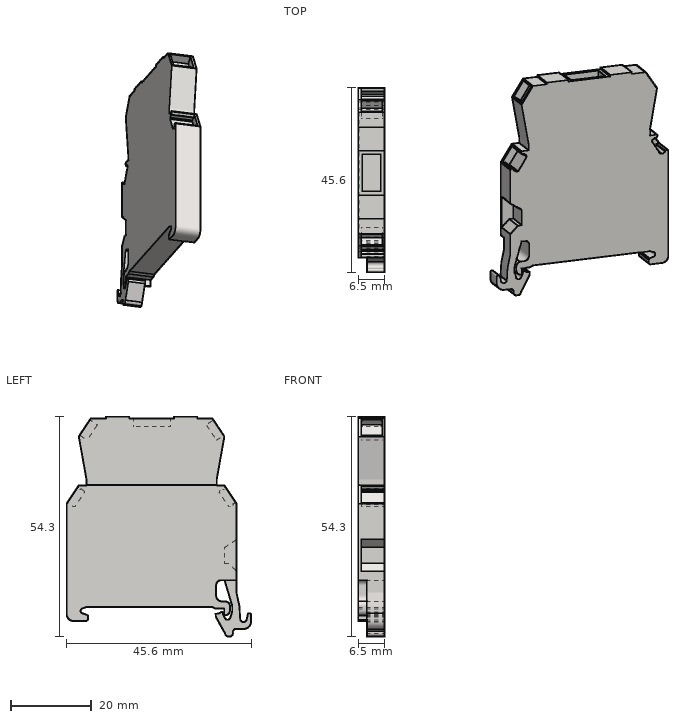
import cadquery as cq
import math


thickness = 6.5
side_wall = 0.7

body_length = 42.0
body_top = 37.3
body_bottom = 7.25
middle_y = body_length / 2

chamfer_run = 3.0
chamfer_rise = 4.5
chamfer_angle = math.atan2(chamfer_rise, chamfer_run)
chamfer_length = math.hypot(chamfer_run, chamfer_rise)

plug_front = 3.0
plug_top = 53.88
plug_neck_front = 4.9
plug_neck_top = 38.76
overall_height = 54.3
tab_height = overall_height - plug_top
tab_length = 5.8
tab_offset = 8.4

seam_height = 0.17
seam_depth = 0.1

window_length = 9.1
window_width = 4.55
window_depth = 2.0
window_shift = 0.08

plug_pocket_depth = 2.15
plug_pocket_margin = 0.42
plug_pocket_far_wall = 0.55
plug_pocket_width = thickness - side_wall - plug_pocket_far_wall

terminal_pocket_depth = 2.05
terminal_pocket_margin = 0.62
terminal_flare_depth = 0.7
terminal_rim_margin = 0.3
terminal_undercut_start = 0.8
terminal_undercut = 0.27
terminal_corner_bevel = 0.3

hook_bottom = 3.8
hook_corner_radius = 1.75
hook_tip_y = 36.7
hook_tip_bevel = 0.4

nose_front = 1.62
nose_back = 3.06
nose_bottom = 5.24
nose_top = 8.67
nose_underside = 6.87
slot_back = 5.04

recess_top = 24.06
recess_wall_top = 22.0
recess_depth = 3.08
recess_ledge_z = 18.06
recess_ledge_front = 2.02
recess_bottom = 16.13

foot_start_x = 2.15
foot_root_z = 13.88
release_front = -3.6
release_bottom = 1.82
toe_front = 0.9


def prism(outline, start_x, end_x):
    """Extrude a closed Y-Z outline from start_x to end_x."""
    return outline.close().extrude(end_x - start_x).translate((start_x, 0, 0))


def both_ends(shape):
    """Add the mirror image of a shape at the opposite end of the body."""
    return shape.union(shape.mirror("XZ", (0, middle_y, 0)))


def body_plate():
    """Body outline with the rail hook at the back and the nose behind the spring foot."""
    back = body_length
    outline = (
        cq.Workplane("YZ")
        .moveTo(0, foot_root_z)
        .lineTo(0, body_top - chamfer_rise)
        .lineTo(chamfer_run, body_top)
        .lineTo(back - chamfer_run, body_top)
        .lineTo(back, body_top - chamfer_rise)
        .lineTo(back, hook_bottom + hook_corner_radius)
        .radiusArc((back - hook_corner_radius, hook_bottom), hook_corner_radius)
        .lineTo(hook_tip_y + hook_tip_bevel, hook_bottom)
        .lineTo(hook_tip_y, hook_bottom + hook_tip_bevel)
        .lineTo(hook_tip_y, 5.1)
        .lineTo(37.0, 5.4)
        .lineTo(38.2, 5.8)
        .threePointArc((38.5, 6.3), (38.2, 6.85))
        .lineTo(37.1, body_bottom)
        .lineTo(6.0, body_bottom)
        .lineTo(5.2, nose_underside)
        .lineTo(nose_back, nose_underside)
        .lineTo(nose_back, nose_bottom)
        .lineTo(2.75, nose_bottom)
        .threePointArc((1.95, 5.65), (nose_front, 6.5))
        .lineTo(nose_front, 7.4)
        .threePointArc((1.9, 8.25), (2.55, nose_top))
        .lineTo(3.6, nose_top)
        .threePointArc((4.6, 9.1), (slot_back, 10.1))
        .lineTo(slot_back, 12.65)
        .threePointArc((4.7, 13.5), (3.85, foot_root_z))
    )
    return prism(outline, 0, thickness)


def spring_foot():
    """Flexible leg with a rail latch on the inside and a release hook on the outside."""
    outline = (
        cq.Workplane("YZ")
        .moveTo(0, foot_root_z)
        .lineTo(3.0, foot_root_z)
        .lineTo(1.43, 8.6)
        .threePointArc((1.08, 7.0), (1.43, 5.2))
        .lineTo(1.6, 4.65)
        .threePointArc((2.26, 4.16), (2.9, 4.65))
        .lineTo(3.25, 5.3)
        .lineTo(3.45, 6.0)
        .lineTo(3.68, 6.15)
        .lineTo(4.35, 5.75)
        .lineTo(5.22, 5.6)
        .lineTo(5.15, 4.85)
        .lineTo(2.88, 0.75)
        .threePointArc((2.65, 0.25), (2.25, 0))
        .lineTo(1.5, 0)
        .threePointArc((1.06, 0.3), (toe_front, 0.96))
        .lineTo(toe_front, 1.35)
        .lineTo(0.45, release_bottom)
        .lineTo(-1.7, release_bottom)
        .threePointArc((-3.03, 2.4), (release_front, 3.7))
        .lineTo(release_front, 5.35)
        .threePointArc((-3.15, 5.78), (-2.7, 5.35))
        .lineTo(-2.5, 4.4)
        .threePointArc((-1.65, 3.62), (-0.92, 4.1))
        .lineTo(-0.72, 7.44)
        .lineTo(0, 10.86)
    )
    return prism(outline, foot_start_x, thickness)


def plug_block():
    """Upper block: straight neck, flaring sides, sloped corners and two raised tabs."""
    half_neck = middle_y - plug_neck_front
    half_wide = middle_y - plug_front
    half_top = half_wide - chamfer_run
    half_outline = [
        (half_neck, body_top),
        (half_neck, plug_neck_top),
        (half_wide, plug_top - chamfer_rise),
        (half_top, plug_top),
    ]
    right_side = [(middle_y + offset, z) for offset, z in half_outline]
    left_side = [(middle_y - offset, z) for offset, z in reversed(half_outline)]
    block = prism(cq.Workplane("YZ").polyline(right_side + left_side), 0, thickness)
    tab = cq.Workplane("XY").box(thickness, tab_length, tab_height, centered=(False, True, False))
    return block.union(both_ends(tab.translate((0, middle_y - tab_offset, plug_top))))


def seam():
    """Shallow groove along the joint between the plug and the body."""
    neck_length = 2 * (middle_y - plug_neck_front)
    return (
        cq.Workplane("XY")
        .box(seam_depth, neck_length, seam_height, centered=(False, True, False))
        .translate((0, middle_y, body_top))
    )


def window():
    """Rectangular blind window in the top of the plug."""
    return (
        cq.Workplane("XY")
        .box(window_width, window_length, window_depth, centered=(True, True, False))
        .translate((thickness / 2 + window_shift, middle_y, plug_top - window_depth))
    )


def on_slope(cutter, foot_y, foot_z):
    """Lay a cutter, drawn with the slope along +Y from the origin, onto a front slope."""
    tilted = cutter.rotate((0, 0, 0), (1, 0, 0), math.degrees(chamfer_angle))
    return tilted.translate((0, foot_y, foot_z))


def plug_pockets():
    """Closed rectangular pockets, square to the plug's sloped corners."""
    opening_length = chamfer_length - 2 * plug_pocket_margin
    cutter = (
        cq.Workplane("XY")
        .box(plug_pocket_width, opening_length, plug_pocket_depth, centered=False)
        .translate((side_wall, plug_pocket_margin, -plug_pocket_depth))
    )
    return both_ends(on_slope(cutter, plug_front, plug_top - chamfer_rise))


def terminal_pockets():
    """Pockets in the body's sloped corners, open to +X, flared and undercut."""
    undercut_margin = terminal_pocket_margin - terminal_undercut
    lower_wall = [
        (terminal_rim_margin, 0),
        (terminal_pocket_margin, -terminal_flare_depth),
        (terminal_pocket_margin, -terminal_undercut_start),
        (undercut_margin, -terminal_undercut_start),
        (undercut_margin, terminal_corner_bevel - terminal_pocket_depth),
        (terminal_pocket_margin, -terminal_pocket_depth),
    ]
    upper_wall = [(chamfer_length - margin, depth) for margin, depth in reversed(lower_wall)]
    cutter = prism(cq.Workplane("YZ").polyline(lower_wall + upper_wall), side_wall, thickness)
    return both_ends(on_slope(cutter, 0, body_top - chamfer_rise))


def front_recess():
    """Undercut recess in the front edge, open to the +X side."""
    section = [
        (0, recess_top),
        (recess_depth, recess_wall_top),
        (recess_depth, recess_ledge_z),
        (recess_ledge_front, recess_ledge_z),
        (0, recess_bottom),
    ]
    return prism(cq.Workplane("YZ").polyline(section), side_wall, thickness)


housing = body_plate().union(spring_foot()).union(plug_block())
housing = housing.cut(seam()).cut(window())
result = housing.cut(plug_pockets()).cut(terminal_pockets()).cut(front_recess())